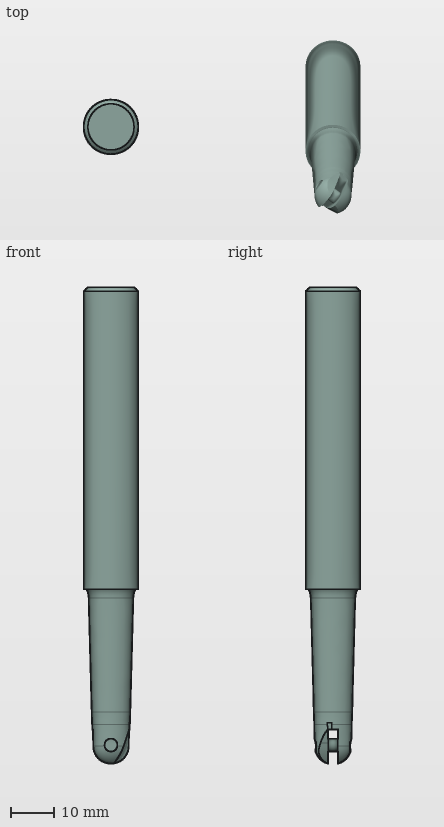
import cadquery as cq
import math

overall_length = 110.42

shank_radius = 12.7 / 2
shank_length = 70.0
shank_chamfer = 1.0

shoulder_radius = 5.65
neck_top_radius = 5.2
neck_bottom_radius = 4.5
neck_blend_height = 2.0
neck_bottom_z = 12.1

head_radius = 4.28
head_top_radius = 4.4
head_top_z = 9.15
slot_width = 2.25
slot_top_z = 7.9

relief_top_z = 9.5
relief_wall_y = 0.3
relief_top_x = 4.2
relief_bend_x = 3.2
relief_bend_z = 4.9
relief_tip_x = 0.5
relief_bulge = 0.3
cutter_reach = 2 * shank_radius

pin_radius = 1.5
pin_center_z = 4.33
pin_end_recess = 0.1

jaw_inner_y = slot_width / 2
ball_center_z = math.sqrt(head_radius**2 - jaw_inner_y**2)
ball_bottom_z = ball_center_z - head_radius
shank_bottom_z = overall_length - shank_length
neck_top_z = shank_bottom_z - neck_blend_height
pin_end_y = math.sqrt(head_radius**2 - pin_radius**2) - pin_end_recess


def make_turned_blank():
    """Shank, blended neck and ball end as one revolved profile in radius and Z."""
    ball_mid_offset = head_radius * math.sqrt(0.5)
    profile = (
        cq.Workplane("XZ")
        .moveTo(0, ball_bottom_z)
        .threePointArc((ball_mid_offset, ball_center_z - ball_mid_offset), (head_radius, ball_center_z))
        .lineTo(head_top_radius, head_top_z)
        .lineTo(neck_bottom_radius, neck_bottom_z)
        .lineTo(neck_top_radius, neck_top_z)
        .tangentArcPoint((shoulder_radius, shank_bottom_z), relative=False)
        .lineTo(shank_radius, shank_bottom_z)
        .lineTo(shank_radius, overall_length - shank_chamfer)
        .lineTo(shank_radius - shank_chamfer, overall_length)
        .lineTo(0, overall_length)
        .close()
    )
    return profile.revolve(360, (0, 0, 0), (0, 1, 0))


def make_slot():
    """Slot open at the tip, running right across the head along X."""
    height = slot_top_z - ball_bottom_z
    return (
        cq.Workplane("XY")
        .workplane(offset=ball_bottom_z)
        .rect(2 * cutter_reach, slot_width)
        .extrude(height)
    )


def make_relief():
    """Cutter that clears the +X side of the -Y jaw."""
    chord_x = relief_bend_x - relief_tip_x
    chord_z = relief_bend_z - ball_bottom_z
    chord = math.hypot(chord_x, chord_z)
    curve_middle = (
        (relief_bend_x + relief_tip_x) / 2 + relief_bulge * chord_z / chord,
        (relief_bend_z + ball_bottom_z) / 2 - relief_bulge * chord_x / chord,
    )
    return (
        cq.Workplane("XZ", origin=(0, -relief_wall_y, 0))
        .moveTo(cutter_reach, relief_top_z)
        .lineTo(relief_top_x, relief_top_z)
        .lineTo(relief_top_x, slot_top_z)
        .lineTo(relief_bend_x, relief_bend_z)
        .threePointArc(curve_middle, (relief_tip_x, ball_bottom_z))
        .lineTo(cutter_reach, ball_bottom_z)
        .close()
        .extrude(cutter_reach)
    )


def make_pin():
    """Straight cross pin along Y through both jaws, its ends just below the surface."""
    return (
        cq.Workplane("XZ", origin=(0, pin_end_y, pin_center_z))
        .circle(pin_radius)
        .extrude(2 * pin_end_y)
    )


def make_holder():
    """Holder with its slot, the two opposite jaw reliefs and the pin hole."""
    body = make_turned_blank().cut(make_slot())
    for angle in (0, 180):
        body = body.cut(make_relief().rotate((0, 0, 0), (0, 0, 1), angle))
    pin_hole = (
        cq.Workplane("XZ", origin=(0, cutter_reach, pin_center_z))
        .circle(pin_radius)
        .extrude(2 * cutter_reach)
    )
    return body.cut(pin_hole)


holder = make_holder()
pin = make_pin()

result = cq.Compound.makeCompound([holder.val(), pin.val()])